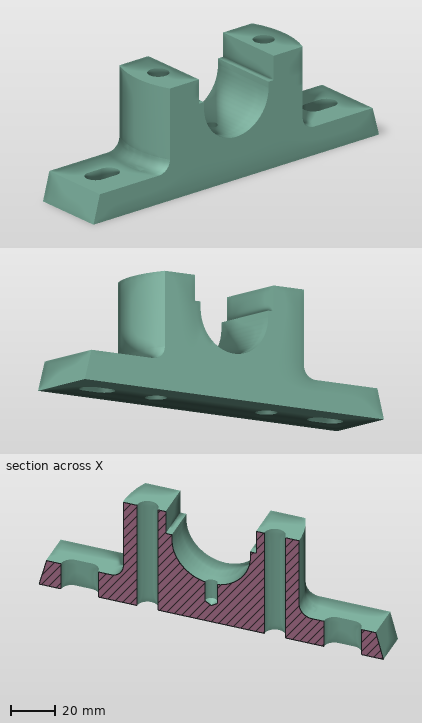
import cadquery as cq
import math

length = 168.0
width = 36.0
base_height = 14.0
end_slope = 15.0

total_height = 55.0
pedestal_radius = 43.0
root_fillet = 6.0

bore_radius = 19.0
bore_centre_height = 40.0
ledge_height = 43.0
cap_recess_width = 44.0

bolt_diameter = 10.0
bolt_spacing = 62.0
slot_width = 10.0
slot_length = 18.0
slot_spacing = 128.0
drill_diameter = 6.0
drill_depth = 10.0
drill_tip_angle = 118.0


def make_base():
    end_inset = base_height * math.tan(math.radians(end_slope))
    half_length = length / 2
    top_half_length = half_length - end_inset
    return (
        cq.Workplane("YZ")
        .polyline([
            (-half_length, 0),
            (half_length, 0),
            (top_half_length, base_height),
            (-top_half_length, base_height),
        ])
        .close()
        .extrude(width / 2, both=True)
    )


def make_pedestal():
    """Turned pedestal with a concave root fillet, cut to the bar width."""
    fillet_middle = root_fillet * (1 - math.sqrt(0.5))
    turned = (
        cq.Workplane("XZ")
        .lineTo(pedestal_radius + root_fillet, 0)
        .lineTo(pedestal_radius + root_fillet, base_height)
        .threePointArc(
            (pedestal_radius + fillet_middle, base_height + fillet_middle),
            (pedestal_radius, base_height + root_fillet),
        )
        .lineTo(pedestal_radius, total_height)
        .lineTo(0, total_height)
        .close()
        .revolve(360, (0, 0), (0, 1))
    )
    bar_envelope = cq.Workplane("XY").box(width, length, total_height, centered=(True, True, False))
    return turned.intersect(bar_envelope)


def make_saddle_cut():
    """U-shaped bore opening into the wider recess for the bearing cap."""
    half_recess = cap_recess_width / 2
    return (
        cq.Workplane("YZ")
        .moveTo(-bore_radius, bore_centre_height)
        .threePointArc((0, bore_centre_height - bore_radius), (bore_radius, bore_centre_height))
        .lineTo(bore_radius, ledge_height)
        .lineTo(half_recess, ledge_height)
        .lineTo(half_recess, total_height)
        .lineTo(-half_recess, total_height)
        .lineTo(-half_recess, ledge_height)
        .lineTo(-bore_radius, ledge_height)
        .close()
        .extrude(width / 2, both=True)
    )


def make_bolt_holes():
    return (
        cq.Workplane("XY")
        .pushPoints([(0, -bolt_spacing / 2), (0, bolt_spacing / 2)])
        .circle(bolt_diameter / 2)
        .extrude(total_height)
    )


def make_slots():
    return (
        cq.Workplane("XY")
        .pushPoints([(0, -slot_spacing / 2), (0, slot_spacing / 2)])
        .slot2D(slot_length, slot_width, 90)
        .extrude(base_height)
    )


def make_drilled_hole():
    """Blind hole with a conical tip, drilled down from the bore."""
    drill_radius = drill_diameter / 2
    shoulder_height = bore_centre_height - bore_radius - drill_depth
    tip_height = shoulder_height - drill_radius / math.tan(math.radians(drill_tip_angle / 2))
    return (
        cq.Workplane("XZ")
        .moveTo(0, tip_height)
        .lineTo(drill_radius, shoulder_height)
        .lineTo(drill_radius, bore_centre_height)
        .lineTo(0, bore_centre_height)
        .close()
        .revolve(360, (0, 0), (0, 1))
    )


body = make_base().union(make_pedestal())
for cut in (make_saddle_cut(), make_bolt_holes(), make_slots(), make_drilled_hole()):
    body = body.cut(cut)
result = body